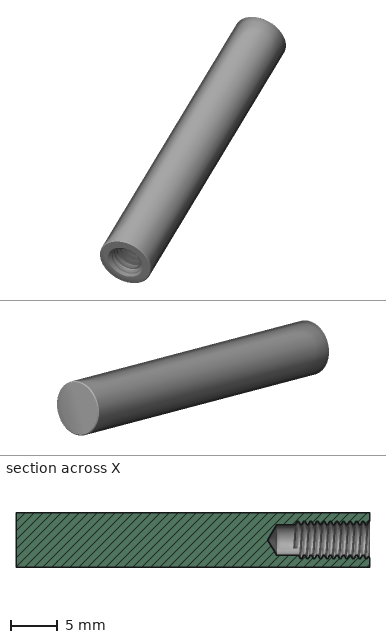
import cadquery as cq
import math

rod_diameter = 5.95
rod_length = 38.0
rim_chamfer = 0.1

thread_major_diameter = 4.0
thread_pitch = 0.7
thread_length = 8.0
thread_start_angle = 240.0
hole_depth = 10.0
drill_tip_angle = 118.0
mouth_diameter = 4.02
mouth_angle = 120.0

flank_angle = 60.0
flank_slope = math.tan(math.radians(flank_angle / 2))
sharp_height = thread_pitch / (2 * flank_slope)
major_radius = thread_major_diameter / 2
minor_radius = major_radius - 5 / 8 * sharp_height
root_width = thread_pitch / 8

cutter_overlap = 0.05


def cone_height(radius, full_angle):
    return radius / math.tan(math.radians(full_angle / 2))


def make_rod():
    """Plain rod along Z with its threaded end at Z = 0 and both rims chamfered."""
    rod = cq.Workplane("XY").circle(rod_diameter / 2).extrude(rod_length)
    return rod.faces("<Z or >Z").chamfer(rim_chamfer)


def make_drilled_hole():
    """Tap drill bore with a conical tip and a countersunk mouth."""
    mouth_radius = mouth_diameter / 2
    mouth_depth = cone_height(mouth_radius - minor_radius, mouth_angle)
    tip_depth = hole_depth + cone_height(minor_radius, drill_tip_angle)
    return (
        cq.Workplane("XZ")
        .lineTo(mouth_radius, 0)
        .lineTo(minor_radius, mouth_depth)
        .lineTo(minor_radius, hole_depth)
        .lineTo(0, tip_depth)
        .close()
        .revolve(360, (0, 0, 0), (0, 1, 0))
    )


def make_thread_groove():
    """Helical V groove that starts one pitch outside the mouth."""
    start = -thread_pitch
    inner_radius = minor_radius - cutter_overlap
    root_half = root_width / 2
    inner_half = root_half + (major_radius - inner_radius) * flank_slope
    helix = cq.Wire.makeHelix(
        thread_pitch, thread_length - start, minor_radius, cq.Vector(0, 0, start)
    )
    groove = (
        cq.Workplane("XZ")
        .moveTo(inner_radius, start - inner_half)
        .lineTo(major_radius, start - root_half)
        .lineTo(major_radius, start + root_half)
        .lineTo(inner_radius, start + inner_half)
        .close()
        .sweep(cq.Workplane(helix), isFrenet=True)
    )
    return groove.rotate((0, 0, 0), (0, 0, 1), thread_start_angle)


threaded_rod = make_rod().cut(make_drilled_hole()).cut(make_thread_groove())

laid_rod = threaded_rod.rotate((0, 0, 0), (1, 0, 0), -90)
result = laid_rod.translate((0, -rod_length / 2, 0))